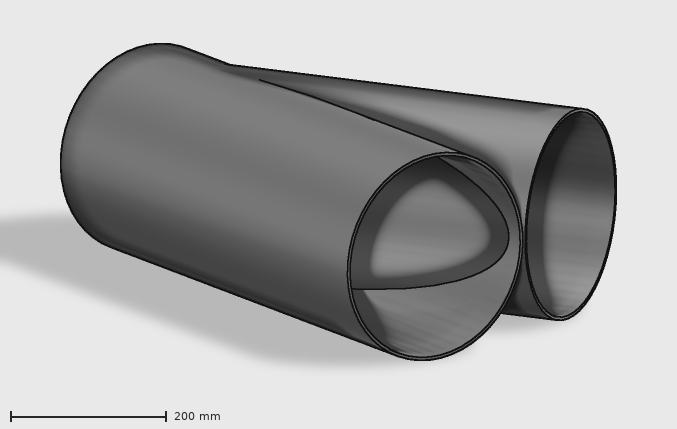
import cadquery as cq
import math

main_length = 648.0
outer_diameter = 273.5
inner_diameter = 265.0
branch_angle = math.radians(30)
branch_start = 127.5
branch_length = 519.5

main_plane = cq.Plane(origin=(0, 0, 0), xDir=(0, 0, 1), normal=(1, 0, 0))
branch_direction = (math.cos(branch_angle), math.sin(branch_angle), 0)
branch_plane = cq.Plane(origin=(branch_start, 0, 0), xDir=(0, 0, 1), normal=branch_direction)


def wye(diameter):
    """Two solid cylinders of equal diameter joined in a Y."""
    main = cq.Workplane(main_plane).circle(diameter / 2).extrude(main_length)
    branch = cq.Workplane(branch_plane).circle(diameter / 2).extrude(branch_length)
    return main.union(branch)


result = wye(outer_diameter).cut(wye(inner_diameter))